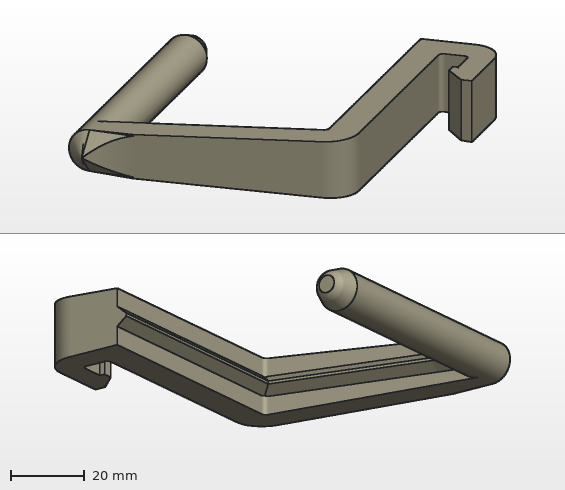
import cadquery as cq
import math

length_x = 93.1
length_y = 95.5
hook_height = 17.9

rod_radius = 6.0
rod_x = rod_radius
point_length = rod_radius
rod_end_y = 80.5
nose_step_y = 84.7
nose_step_radius = 4.4
nose_end_y = 86.4
nose_end_radius = 2.5
nose_round_mid_radius = 3.6
nose_round_mid_y = 85.7

bar_thickness = 9.0
arm_slope = math.tan(math.radians(10))
arm_cos = math.cos(math.radians(10))
arm_face_y_at_rod = 12.9
post_inner_x = 68.4
post_outer_x = post_inner_x + bar_thickness
outer_round = 9.0
inner_round = 1.4

slot_right_x = 85.8
slot_end_y = length_y - bar_thickness
catch_x = 84.3
catch_top_y = 78.1
catch_bottom_y = 75.0
hook_end_y = 69.4
hook_tip_x = 89.9

ridge_height = 3.0
ridge_base = 5.7
ridge_crest = 0.9
ridge_bend_x = 17.8
ridge_crest_y_at_rod = 17.85


def arm_inner_y(x):
    return arm_face_y_at_rod + (x - rod_x) * arm_slope


def arm_outer_y(x):
    return arm_inner_y(x) - bar_thickness / arm_cos


arm_heel_x = rod_x + (point_length - arm_outer_y(rod_x)) / arm_slope


def extrude_centred(outline, height):
    return outline.extrude(height / 2, both=True)


def make_rod():
    return (
        cq.Workplane("XY")
        .moveTo(rod_x, 0)
        .lineTo(rod_x + rod_radius, point_length)
        .lineTo(rod_x + rod_radius, rod_end_y)
        .lineTo(rod_x + nose_step_radius, nose_step_y)
        .threePointArc(
            (rod_x + nose_round_mid_radius, nose_round_mid_y),
            (rod_x + nose_end_radius, nose_end_y),
        )
        .lineTo(rod_x, nose_end_y)
        .close()
        .revolve(360, (rod_x, 0, 0), (rod_x, 1, 0))
    )


def vertical_edge_at(x, y):
    return cq.selectors.NearestToPointSelector((x, y, 0))


def make_frame():
    outline = [
        (rod_x, point_length),
        (arm_heel_x, point_length),
        (post_outer_x, arm_outer_y(post_outer_x)),
        (post_outer_x, slot_end_y),
        (slot_right_x, slot_end_y),
        (slot_right_x, catch_top_y),
        (catch_x, catch_top_y),
        (catch_x, catch_bottom_y),
        (hook_tip_x, hook_end_y),
        (length_x, hook_end_y),
        (length_x, length_y),
        (post_inner_x, length_y),
        (post_inner_x, arm_inner_y(post_inner_x)),
        (rod_x, arm_inner_y(rod_x)),
    ]
    frame = extrude_centred(cq.Workplane("XY").polyline(outline).close(), hook_height)
    rounds = [
        (post_outer_x, arm_outer_y(post_outer_x), outer_round),
        (length_x, length_y, outer_round),
        (post_outer_x, slot_end_y, inner_round),
        (slot_right_x, slot_end_y, inner_round),
        (post_inner_x, arm_inner_y(post_inner_x), inner_round),
    ]
    for x, y, radius in rounds:
        frame = frame.edges("|Z").edges(vertical_edge_at(x, y)).fillet(radius)
    return frame


def make_taper():
    """Wedge as high as the rod at the rod axis and full height at the hook."""
    return (
        cq.Workplane("XZ")
        .polyline([
            (rod_x, -rod_radius),
            (length_x, -hook_height / 2),
            (length_x, hook_height / 2),
            (rod_x, rod_radius),
        ])
        .close()
        .extrude(-length_y)
    )


def make_ridge():
    """Trapezoid ridge: its crest outline in XY, trimmed by sloping flanks."""
    crest_x = post_inner_x - ridge_height
    crest_rise = ridge_height / arm_cos
    flank = (ridge_base - ridge_crest) / 2

    post_ridge = (
        cq.Workplane("XZ")
        .polyline([
            (post_inner_x, -ridge_base / 2),
            (post_inner_x, ridge_base / 2),
            (crest_x, ridge_base / 2 - flank),
            (crest_x, flank - ridge_base / 2),
        ])
        .close()
        .extrude(-length_y)
    )
    above_arm = (
        cq.Workplane("XY")
        .polyline([
            (crest_x, arm_inner_y(crest_x)),
            (post_inner_x, arm_inner_y(post_inner_x)),
            (post_inner_x, length_y),
            (crest_x, length_y),
        ])
        .close()
    )
    post_ridge = post_ridge.intersect(extrude_centred(above_arm, hook_height))

    def ridge_section(x, crest_y):
        face_y = arm_inner_y(x)
        corners = [
            (face_y, -ridge_base / 2),
            (face_y, ridge_base / 2),
            (crest_y, ridge_crest / 2),
            (crest_y, -ridge_crest / 2),
        ]
        return cq.Wire.makePolygon([cq.Vector(x, y, z) for y, z in corners], close=True)

    rod_section = ridge_section(rod_x, ridge_crest_y_at_rod)
    bend_section = ridge_section(ridge_bend_x, arm_inner_y(ridge_bend_x) + crest_rise)
    post_section = ridge_section(post_inner_x, arm_inner_y(post_inner_x) + crest_rise)
    near_rod = cq.Solid.makeLoft([rod_section, bend_section], True)
    near_post = cq.Solid.makeLoft([bend_section, post_section], True)
    return post_ridge.union(cq.Workplane(near_rod)).union(cq.Workplane(near_post))


def make_point_web():
    """Concave web from the rod's tip to the arm, with 45 degree sides."""
    chord_angle = math.atan2(point_length, arm_heel_x - rod_x)
    turn = 2 * (chord_angle - math.atan(arm_slope))
    chord = math.hypot(point_length, arm_heel_x - rod_x)
    sagitta = chord / 2 * math.tan(turn / 4)
    mid_x = (rod_x + arm_heel_x) / 2 - sagitta * math.sin(chord_angle)
    mid_y = point_length / 2 + sagitta * math.cos(chord_angle)
    outline = (
        cq.Workplane("XY")
        .moveTo(rod_x, 0)
        .threePointArc((mid_x, mid_y), (arm_heel_x, point_length))
        .lineTo(rod_x, point_length)
        .close()
    )
    roof = (
        cq.Workplane("YZ")
        .polyline([(0, 0), (point_length, rod_radius), (point_length, -rod_radius)])
        .close()
        .extrude(length_x)
    )
    return extrude_centred(outline, 2 * rod_radius).intersect(roof)


tapered_frame = make_frame().intersect(make_taper())
result = tapered_frame.union(make_ridge()).union(make_rod()).union(make_point_web())